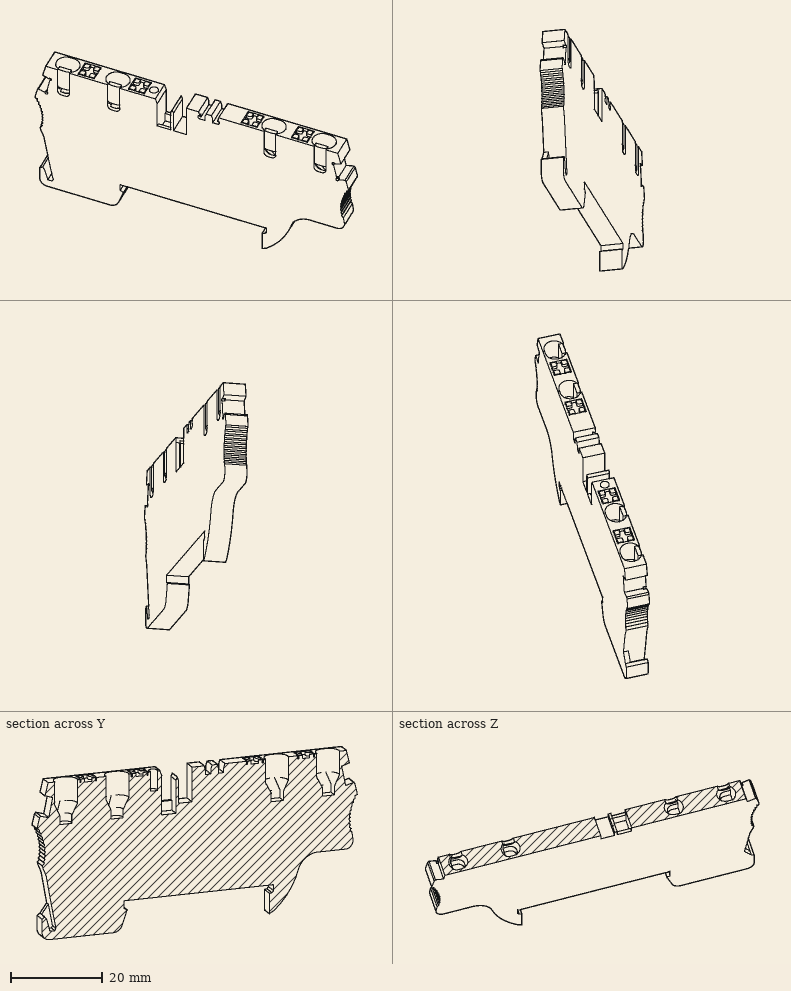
import cadquery as cq
import math

LENGTH = 74.75
THICKNESS = 5.0
HEIGHT = 36.0
MID_Y = THICKNESS / 2

GRIP_DEPTH = 1.65
GRIP_MID_Z = 20.1
GRIP_TOP_Z = 25.6
GRIP_HALF_CHORD = GRIP_TOP_Z - GRIP_MID_Z
GRIP_RADIUS = (GRIP_HALF_CHORD**2 + GRIP_DEPTH**2) / (2 * GRIP_DEPTH)
RIB_PITCH = 0.85
RIB_COUNT = 10
RIB_LEDGE = 0.26
RIB_LEDGE_DROP = 0.3

UPPER_CATCH = (3.6, 32.4)
LOWER_CATCH = (2.7, 28.0)

CATCH_RELIEF_RADIUS = 0.3
GROOVE_RELIEF_RADIUS = 0.45
RELIEF_DEPTH = 0.7

RAIL_Z = 7.0
RAIL_LEFT = 20.3
RAIL_RIGHT = 55.15
FOOT_LEFT = 1.1
FOOT_RADIUS = 1.8
SHOULDER_Z = 13.4
LEG_TOP = (3.4, 7.55)

WEB_THICKNESS = 1.1

NOTCH_LEFT = 29.15
NOTCH_RIGHT = 36.1
NOTCH_FLOOR_Z = 28.1
NOTCH_BEVEL_WIDTH = 0.45
NOTCH_BEVEL_HEIGHT = 1.3
BLADE_LEFT = 32.35
BLADE_THICKNESS = 0.7
BLADE_TOP_Z = 34.15
BLADE_SHOULDER_Z = 33.4
POCKET_DEPTH = 2.25
POCKET_MARGIN = 0.71

GROOVE_FLOOR_Z = 34.0
GROOVE_SPANS = ((39.3, 40.5), (42.4, 43.5))
GROOVE_BEVEL = 0.3
GROOVE_BEVEL_HEIGHT = 1.0
GROOVE_RELIEF_Z = 34.45

ENTRY_XS = (6.8, 18.75)
WELL_XS = (11.95, 23.9)
ENTRY_LENGTH = 5.4
ENTRY_WIDTH = 4.5
ENTRY_CENTER_Y = 2.4
FUNNEL_TOP_Z = 30.65
FUNNEL_END_Z = 28.0
BORE_FLOOR_Z = 26.15
BORE_WIDTH = 2.85
BORE_BACK_Y = 3.95

SLOT_WIDTH = 2.85
SLOT_DEPTH = 1.1
SLOT_FLOOR_Z = 28.8
SLOT_ROUND = 1.05

WELL_SIZE = 3.8
WELL_DEPTH = 0.75
WELL_GAP = 0.15
PILLAR_SIZE = 1.2
PILLAR_ROUND = 0.4

TEST_HOLE_X = 27.3
TEST_HOLE_DIAMETER = 1.95
TEST_HOLE_DEPTH = 4.5


def mirrored(points):
    """Mirror (x, z) points about the middle of the length."""
    return [(LENGTH - x, z) for x, z in points]


def grip_point(index):
    """Tip of a grip rib, counted downward along the arc of the left end."""
    z = GRIP_TOP_Z - RIB_PITCH * index
    arc = math.sqrt(GRIP_RADIUS**2 - (z - GRIP_MID_Z) ** 2)
    return GRIP_DEPTH - GRIP_RADIUS + arc, z


def end_outline():
    """Left end from the top edge down to the last grip rib."""
    points = [
        (2.55, HEIGHT),
        (1.8, 33.0),
        UPPER_CATCH,
        LOWER_CATCH,
        (0.8, 28.55),
        (0.5, 28.2),
        (0.0, 26.0),
    ]
    for index in range(RIB_COUNT):
        x, z = grip_point(index)
        next_x, next_z = grip_point(index + 1)
        points.append((x, z))
        points.append((max(x + RIB_LEDGE, next_x), z - RIB_LEDGE_DROP))
    points.append(grip_point(RIB_COUNT))
    return points


def extrude_profile(profile, start_y, depth):
    """Extrude a closed XZ profile from start_y toward +Y."""
    return profile.extrude(-depth).translate((0, start_y, 0))


def xz_box(left, right, bottom, top, front, back):
    return cq.Workplane("XY").box(
        right - left, back - front, top - bottom, centered=False
    ).translate((left, front, bottom))


def housing():
    left_end = end_outline()
    right_end = mirrored(left_end)
    profile = (
        cq.Workplane("XZ")
        .polyline(left_end)
        .lineTo(1.35, 16.45)
        .lineTo(1.9, 15.25)
        .lineTo(2.1, 14.6)
        .lineTo(*LEG_TOP)
        .lineTo(1.8, 5.4)
        .lineTo(FOOT_LEFT, 4.9)
        .lineTo(FOOT_LEFT, FOOT_RADIUS)
        .radiusArc((FOOT_LEFT + FOOT_RADIUS, 0), -FOOT_RADIUS)
        .lineTo(18.1, 0)
        .threePointArc((19.3, 0.6), (20.0, 1.95))
        .lineTo(21.1, 4.9)
        .lineTo(RAIL_LEFT, 5.4)
        .lineTo(RAIL_LEFT, RAIL_Z)
        .lineTo(RAIL_RIGHT, RAIL_Z)
        .lineTo(RAIL_RIGHT, 5.75)
        .lineTo(54.8, 5.3)
        .lineTo(54.2, 5.2)
        .lineTo(54.2, 0.5)
        .lineTo(55.2, 1.05)
        .threePointArc((59.2, 5.7), (61.1, 10.25))
        .threePointArc((62.9, 12.55), (66.2, SHOULDER_Z))
        .lineTo(72.3, SHOULDER_Z)
        .threePointArc((73.4, 14.1), (73.8, 15.6))
        .lineTo(*right_end[-1])
    )
    for point in reversed(right_end[:-1]):
        profile = profile.lineTo(*point)
    return extrude_profile(profile.close(), 0, THICKNESS)


def foot_spring_slot():
    """Slot that frees the foot tip, blind so that the web remains."""
    profile = (
        cq.Workplane("XZ")
        .moveTo(*LEG_TOP)
        .lineTo(4.3, 2.55)
        .lineTo(4.1, 2.0)
        .lineTo(3.1, 2.0)
        .lineTo(2.3, 4.7)
        .threePointArc((2.0, 5.15), (1.8, 5.4))
        .close()
    )
    return extrude_profile(profile, 0, THICKNESS - WEB_THICKNESS)


def top_notch():
    profile = cq.Workplane("XZ").polyline([
        (NOTCH_LEFT - NOTCH_BEVEL_WIDTH, HEIGHT),
        (NOTCH_LEFT, HEIGHT - NOTCH_BEVEL_HEIGHT),
        (NOTCH_LEFT, NOTCH_FLOOR_Z),
        (NOTCH_RIGHT, NOTCH_FLOOR_Z),
        (NOTCH_RIGHT, HEIGHT),
    ]).close()
    notch = extrude_profile(profile, 0, THICKNESS)
    pocket = xz_box(
        NOTCH_LEFT, BLADE_LEFT, NOTCH_FLOOR_Z - POCKET_DEPTH, NOTCH_FLOOR_Z,
        POCKET_MARGIN, THICKNESS - POCKET_MARGIN,
    )
    return notch.union(pocket)


def blade():
    right = BLADE_LEFT + BLADE_THICKNESS
    profile = cq.Workplane("XZ").polyline([
        (BLADE_LEFT, NOTCH_FLOOR_Z - POCKET_DEPTH),
        (BLADE_LEFT, BLADE_SHOULDER_Z),
        (BLADE_LEFT + BLADE_THICKNESS / 2, BLADE_TOP_Z),
        (right, BLADE_SHOULDER_Z),
        (right, NOTCH_FLOOR_Z - POCKET_DEPTH),
    ]).close()
    return extrude_profile(profile, 0, THICKNESS)


def marker_groove(left, right):
    bevel_z = HEIGHT - GROOVE_BEVEL_HEIGHT
    profile = cq.Workplane("XZ").polyline([
        (left - GROOVE_BEVEL, HEIGHT),
        (left, bevel_z),
        (left, GROOVE_FLOOR_Z),
        (right, GROOVE_FLOOR_Z),
        (right, bevel_z),
        (right + GROOVE_BEVEL, HEIGHT),
    ]).close()
    return extrude_profile(profile, 0, THICKNESS)


def corner_relief(x, z, radius):
    """Shallow round relief in the front face."""
    profile = cq.Workplane("XZ").center(x, z).circle(radius)
    return extrude_profile(profile, 0, RELIEF_DEPTH)


def entry_oval(z):
    return (
        cq.Workplane("XY", origin=(0, ENTRY_CENTER_Y, z))
        .slot2D(ENTRY_LENGTH, ENTRY_WIDTH)
    )


def bore_outline(z):
    """D shape, straight on the side toward the end of the housing."""
    radius = BORE_WIDTH / 2
    front_y = BORE_BACK_Y - BORE_WIDTH
    return (
        cq.Workplane("XY", origin=(0, 0, z))
        .moveTo(0, BORE_BACK_Y)
        .lineTo(-radius, BORE_BACK_Y)
        .lineTo(-radius, front_y)
        .lineTo(0, front_y)
        .threePointArc((radius, front_y + radius), (0, BORE_BACK_Y))
        .close()
    )


def wire_entry():
    """Oval shaft from the top, a funnel below it and a D-shaped bore."""
    shaft = entry_oval(FUNNEL_TOP_Z).extrude(HEIGHT - FUNNEL_TOP_Z)
    throat = bore_outline(FUNNEL_END_Z).wires().val()
    mouth = entry_oval(FUNNEL_TOP_Z).wires().val()
    funnel = cq.Workplane(cq.Solid.makeLoft([throat, mouth], True))
    bore = bore_outline(BORE_FLOOR_Z).extrude(FUNNEL_END_Z - BORE_FLOOR_Z)
    return shaft.union(funnel).union(bore)


def entry_slot():
    """Slot open to the front and the top, with a rounded floor."""
    half_width = SLOT_WIDTH / 2
    slot = xz_box(-half_width, half_width, SLOT_FLOOR_Z, HEIGHT, 0, SLOT_DEPTH)
    return slot.edges("|Y and <Z").fillet(SLOT_ROUND)


def screwdriver_well():
    """Square pocket with a rounded pillar standing in each corner."""
    well = (
        cq.Workplane("XY", origin=(0, MID_Y, HEIGHT - WELL_DEPTH))
        .rect(WELL_SIZE, WELL_SIZE)
        .extrude(WELL_DEPTH)
    )
    offset = WELL_SIZE / 2 - WELL_GAP - PILLAR_SIZE / 2
    for side_x in (-1, 1):
        for side_y in (-1, 1):
            x = side_x * offset
            y = MID_Y + side_y * offset
            inner_x = "<X" if side_x > 0 else ">X"
            inner_y = "<Y" if side_y > 0 else ">Y"
            pillar = (
                cq.Workplane("XY", origin=(x, y, HEIGHT - WELL_DEPTH))
                .rect(PILLAR_SIZE, PILLAR_SIZE)
                .extrude(WELL_DEPTH)
                .edges(f"|Z and {inner_x} and {inner_y}")
                .fillet(PILLAR_ROUND)
            )
            well = well.cut(pillar)
    return well


def both_ends(cutter, x):
    """Place a cutter at x and its mirror image at the other end."""
    left = cutter.translate((x, 0, 0))
    right = cutter.mirror("YZ").translate((LENGTH - x, 0, 0))
    return left, right


def test_hole():
    return (
        cq.Workplane("XY", origin=(TEST_HOLE_X, MID_Y, HEIGHT - TEST_HOLE_DEPTH))
        .circle(TEST_HOLE_DIAMETER / 2)
        .extrude(TEST_HOLE_DEPTH)
    )


body = housing().cut(foot_spring_slot()).cut(top_notch()).union(blade())

for groove_left, groove_right in GROOVE_SPANS:
    body = body.cut(marker_groove(groove_left, groove_right))
for wall_x in (GROOVE_SPANS[0][0], GROOVE_SPANS[-1][1]):
    body = body.cut(corner_relief(wall_x, GROOVE_RELIEF_Z, GROOVE_RELIEF_RADIUS))
for catch_x, catch_z in (UPPER_CATCH, LOWER_CATCH):
    relief = corner_relief(catch_x, catch_z, CATCH_RELIEF_RADIUS)
    for cutter in both_ends(relief, 0):
        body = body.cut(cutter)

entry = wire_entry()
slot = entry_slot()
for entry_x in ENTRY_XS:
    for cutter in both_ends(slot, entry_x) + both_ends(entry, entry_x):
        body = body.cut(cutter)

well = screwdriver_well()
for well_x in WELL_XS:
    for cutter in both_ends(well, well_x):
        body = body.cut(cutter)

result = body.cut(test_hole())